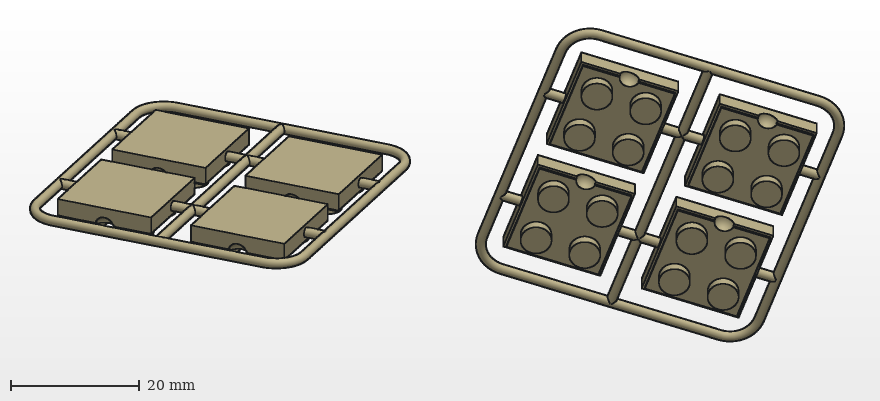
import cadquery as cq
import math

frame_size = 47.2
rod_diameter = 1.6
corner_radius = 4.8
tile_size = 16.0
tile_pitch_y = 20.0
tile_height = 4.8
foot_height = 0.4
foot_inset = 0.4
stud_diameter = 4.8
stud_height = 1.6
stud_pitch = 8.02
notch_diameter = 3.2

rod_radius = rod_diameter / 2
axis_half = frame_size / 2 - rod_radius
straight_half = axis_half - corner_radius
column_x = axis_half / 2
row_y = tile_pitch_y / 2
block_height = tile_height - foot_height - stud_height
block_bottom = -block_height / 2
foot_bottom = block_bottom - foot_height
tile_centers = [(x, y) for x in (-column_x, column_x) for y in (-row_y, row_y)]


def rod(start, end):
    """Straight round rod between two points on the Z = 0 plane."""
    axis = cq.Vector(*end) - cq.Vector(*start)
    solid = cq.Solid.makeCylinder(rod_radius, axis.Length, cq.Vector(*start), axis)
    return cq.Workplane(obj=solid)


def make_outer_ring():
    """Rod bent into a square ring with rounded corners."""
    bend_mid = straight_half + corner_radius * math.sqrt(0.5)
    path = (
        cq.Workplane("XY")
        .moveTo(0, -axis_half)
        .lineTo(straight_half, -axis_half)
        .threePointArc((bend_mid, -bend_mid), (axis_half, -straight_half))
        .lineTo(axis_half, straight_half)
        .threePointArc((bend_mid, bend_mid), (straight_half, axis_half))
        .lineTo(-straight_half, axis_half)
        .threePointArc((-bend_mid, bend_mid), (-axis_half, straight_half))
        .lineTo(-axis_half, -straight_half)
        .threePointArc((-bend_mid, -bend_mid), (-straight_half, -axis_half))
        .close()
    )
    return cq.Workplane("YZ").center(-axis_half, 0).circle(rod_radius).sweep(path)


def make_frame():
    """Outer ring with a middle rod and short gates that reach the tile sides."""
    frame = make_outer_ring().union(rod((0, -axis_half), (0, axis_half)))
    for x, y in tile_centers:
        for rod_x in (x - column_x, x + column_x):
            side = math.copysign(tile_size / 2, rod_x - x)
            frame = frame.union(rod((rod_x, y), (x + side, y)))
    return frame


def make_tile(x, y):
    """Square tile with a stepped underside, four studs and a notch."""
    foot_size = tile_size - 2 * foot_inset
    block = (
        cq.Workplane("XY", origin=(x, y, block_bottom))
        .rect(tile_size, tile_size)
        .extrude(block_height)
    )
    foot = (
        cq.Workplane("XY", origin=(x, y, foot_bottom))
        .rect(foot_size, foot_size)
        .extrude(foot_height)
    )
    studs = (
        cq.Workplane("XY", origin=(x, y, foot_bottom))
        .rarray(stud_pitch, stud_pitch, 2, 2)
        .circle(stud_diameter / 2)
        .extrude(-stud_height)
    )
    notch = cq.Workplane("XY", origin=(x, y - tile_size / 2, foot_bottom)).sphere(notch_diameter / 2)
    return block.union(foot).cut(notch).union(studs)


frame = make_frame()
tiles = [make_tile(x, y) for x, y in tile_centers]

result = cq.Compound.makeCompound([frame.val(), *[tile.val() for tile in tiles]])